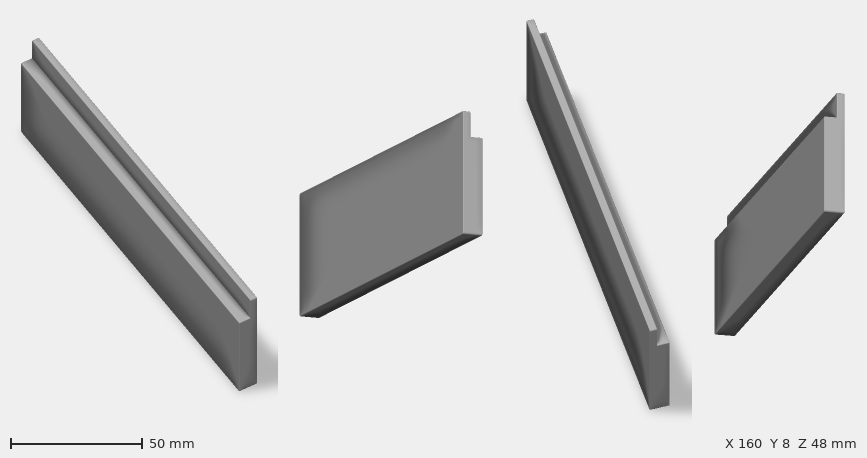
import cadquery as cq

length = 160.0
thickness = 8.0
height = 48.0

lip_thickness = 3.0
lip_height = 10.0

corner_radius = 0.6
edge_radius = 0.3

lip_front = thickness - lip_thickness
shoulder_height = height - lip_height

profile = [
    (0, 0),
    (thickness, 0),
    (thickness, height),
    (lip_front, height),
    (lip_front, shoulder_height),
    (0, shoulder_height),
]
plate = cq.Workplane("YZ").polyline(profile).close().extrude(length)

top_and_bottom = cq.selectors.StringSyntaxSelector(">Z or <Z")
plate = plate.edges("|Y").edges(top_and_bottom).fillet(corner_radius)

inside_corner = cq.selectors.NearestToPointSelector((length / 2, lip_front, shoulder_height))
outer_edges = plate.edges(cq.selectors.InverseSelector(inside_corner))
result = outer_edges.fillet(edge_radius)